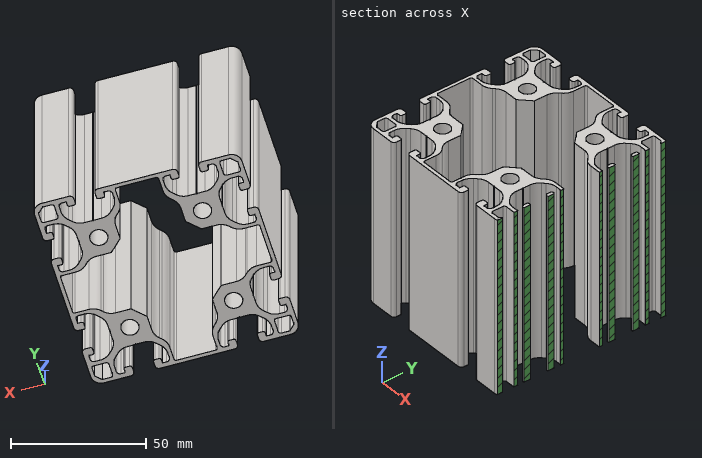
import cadquery as cq
import math

side = 80.0
length = side
half = side / 2
corner_radius = 4.0
skin = 1.6

core_offset = side / 4
slot_half_opening = 4.1
lip_inner_half = 7.2
lip_depth = 4.2
lip_front_radius = 1.5
lip_end_radius = 0.8
slot_roof_depth = 2.0
slot_half_width = 10.2
slot_roof_radius = 1.4
slot_floor_depth = 12.4
slot_bevel = 4.6
slot_bevel_radius = 5.8
notch_depth = 0.2

bore_diameter = 6.7
core_inner_half = 7.4
core_bevel = 4.8

arm_half_width = 8.3
arm_corner_radius = 0.8
neck_half_width = core_offset - core_inner_half
neck_step = neck_half_width - arm_half_width
neck_end = 25.7
neck_radius = 5.8

hollow_size = 6.5
hollow_bevel = 2.2
hollow_radius = 1.0


def rounded_polygon(corners):
    """Closed outline through (x, y, radius) corners, each rounded by a tangent arc."""
    spans = []
    for index, (x, y, radius) in enumerate(corners):
        corner = cq.Vector(x, y)
        before = corners[index - 1]
        after = corners[(index + 1) % len(corners)]
        to_before = (cq.Vector(before[0], before[1]) - corner).normalized()
        to_after = (cq.Vector(after[0], after[1]) - corner).normalized()
        half_angle = to_before.getAngle(to_after) / 2
        setback = radius / math.tan(half_angle)
        crown = radius / math.sin(half_angle) - radius
        inward = (to_before + to_after).normalized()
        arc_start = corner + to_before * setback
        arc_middle = corner + inward * crown
        arc_end = corner + to_after * setback
        spans.append((arc_start, arc_middle, arc_end, radius > 0))

    first_end = spans[0][2]
    outline = cq.Workplane("XY").moveTo(first_end.x, first_end.y)
    for start, middle, end, is_round in spans[1:] + spans[:1]:
        outline = outline.lineTo(start.x, start.y)
        if is_round:
            outline = outline.threePointArc((middle.x, middle.y), (end.x, end.y))
    return outline.close()


def slot_cutter():
    """T-slot open at the +Y face, centred on X = 0, with a V-notch along its floor."""
    above_face = half + lip_front_radius
    flare_half_width = slot_half_opening + 2 * lip_front_radius
    floor = half - slot_floor_depth
    roof = half - slot_roof_depth
    lip_end = half - lip_depth
    right_side = [
        (flare_half_width, above_face, 0),
        (flare_half_width, half, 0),
        (slot_half_opening, half, lip_front_radius),
        (slot_half_opening, lip_end, lip_end_radius),
        (lip_inner_half, lip_end, lip_end_radius),
        (lip_inner_half, roof, 0),
        (slot_half_width, roof, slot_roof_radius),
        (slot_half_width, floor + slot_bevel, slot_bevel_radius),
        (slot_half_width - slot_bevel, floor, slot_bevel_radius),
        (notch_depth, floor, 0),
    ]
    notch_tip = (0, floor - notch_depth, 0)
    left_side = [(-x, y, radius) for x, y, radius in reversed(right_side)]
    return rounded_polygon(right_side + [notch_tip] + left_side).extrude(length)


def cavity_cutter():
    """Cross-shaped cavity; one quarter of its outline is turned round the axis."""
    arm_end = half - skin
    shoulder = neck_end + neck_step
    bevel_end = neck_half_width + core_bevel
    half_quarter = [
        (arm_half_width, arm_end, arm_corner_radius),
        (arm_half_width, shoulder, neck_radius),
        (neck_half_width, neck_end, neck_radius),
        (neck_half_width, bevel_end, 0),
    ]
    quarter = half_quarter + [(y, x, radius) for x, y, radius in reversed(half_quarter)]
    corners = []
    for _ in range(4):
        corners += quarter
        quarter = [(y, -x, radius) for x, y, radius in quarter]
    return rounded_polygon(corners).extrude(length)


def hollow_cutter():
    """Square hollow in the +X +Y corner, bevelled towards the outer corner."""
    outer = half - skin
    inner = outer - hollow_size
    return rounded_polygon([
        (inner, inner, hollow_radius),
        (outer, inner, hollow_radius),
        (outer, outer - hollow_bevel, 0),
        (outer - hollow_bevel, outer, 0),
        (inner, outer, hollow_radius),
    ]).extrude(length)


def bore_cutter():
    """Round bore through the core in the +X +Y quarter."""
    return cq.Workplane("XY").center(core_offset, core_offset).circle(bore_diameter / 2).extrude(length)


result = cq.Workplane("XY").rect(side, side).extrude(length).edges("|Z").fillet(corner_radius)
result = result.cut(cavity_cutter())

slot = slot_cutter()
quarter_cutters = [
    slot.translate((-core_offset, 0, 0)),
    slot.translate((core_offset, 0, 0)),
    hollow_cutter(),
    bore_cutter(),
]
for quarter_turn in range(4):
    for cutter in quarter_cutters:
        result = result.cut(cutter.rotate((0, 0, 0), (0, 0, 1), 90 * quarter_turn))